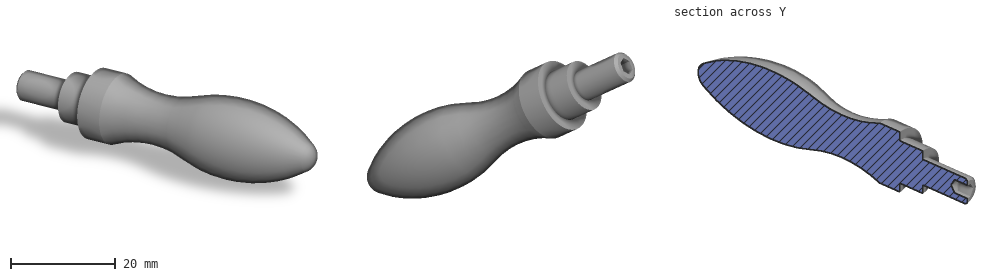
import cadquery as cq
import math

total_length = 65.5
shoulder_start = 10.9
collar_start = 16.45
collar_end = 21.35
waist_x = 30.45
belly_x = 47.55

stud_radius = 3.0
shoulder_radius = 5.0
collar_radius = 7.0
waist_radius = 5.0
belly_radius = 8.0

stud_chamfer = 0.5
hex_across_flats = 2.95
hex_depth = 3.0
drill_point_angle = 120.0

flare_length = waist_x - collar_end
flare_rise = collar_radius - waist_radius
waist_arc = (flare_length**2 + flare_rise**2) / (2 * flare_rise)
waist_center = (waist_x, waist_radius + waist_arc)

arc_spacing = belly_x - waist_x
belly_rise = belly_radius - waist_radius
arc_sum = (arc_spacing**2 + belly_rise**2) / (2 * belly_rise)
belly_arc = arc_sum - waist_arc
belly_center = (belly_x, belly_radius - belly_arc)

tip_reach = total_length - belly_x
tip_radius = (tip_reach**2 + belly_center[1] ** 2 - belly_arc**2) / (2 * (tip_reach - belly_arc))
tip_center = (total_length - tip_radius, 0.0)


def point_at(center, radius, angle):
    """Point on a circle at an angle in radians from the X axis."""
    return (center[0] + radius * math.cos(angle), center[1] + radius * math.sin(angle))


def make_handle():
    """Revolve the stepped stud and the curved grip about the X axis."""
    belly_start_angle = math.atan2(waist_center[1] - belly_center[1], waist_x - belly_x)
    tip_angle = math.atan2(-belly_center[1], tip_center[0] - belly_x)
    profile = (
        cq.Workplane("XY")
        .moveTo(0, 0)
        .lineTo(0, stud_radius - stud_chamfer)
        .lineTo(stud_chamfer, stud_radius)
        .lineTo(shoulder_start, stud_radius)
        .lineTo(shoulder_start, shoulder_radius)
        .lineTo(collar_start, shoulder_radius)
        .lineTo(collar_start, collar_radius)
        .lineTo(collar_end, collar_radius)
        .threePointArc((waist_x, waist_radius), point_at(belly_center, belly_arc, belly_start_angle))
        .threePointArc((belly_x, belly_radius), point_at(belly_center, belly_arc, tip_angle))
        .threePointArc(point_at(tip_center, tip_radius, tip_angle / 2), (total_length, 0))
        .close()
    )
    return profile.revolve(360, (0, 0), (1, 0))


def make_hex_socket():
    """Hexagonal socket with corners on the Y axis and a conical drill-point bottom."""
    corner_radius = hex_across_flats / math.sqrt(3)
    point_depth = corner_radius / math.tan(math.radians(drill_point_angle / 2))
    prism = cq.Workplane("YZ").polygon(6, 2 * corner_radius).extrude(hex_depth + point_depth)
    drilled_hole = (
        cq.Workplane("XY")
        .polyline([(0, 0), (0, corner_radius), (hex_depth, corner_radius), (hex_depth + point_depth, 0)])
        .close()
        .revolve(360, (0, 0), (1, 0))
    )
    return prism.intersect(drilled_hole)


result = make_handle().cut(make_hex_socket())